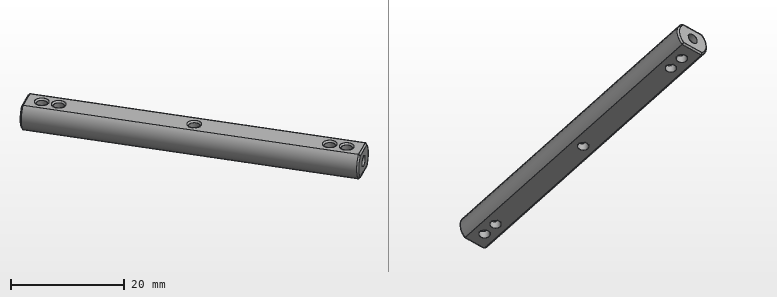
import cadquery as cq

length = 62.5
rod_diameter = 6.6
height_over_flats = 5.0
end_chamfer = 0.3

bore_diameter = 2.0
countersink_diameter = 2.6
countersink_angle = 90.0
outer_hole_inset = 3.1
inner_hole_inset = 6.25

half_length = length / 2
top_z = height_over_flats / 2


def flatted_bar():
    """Rod along X, cut flat at top and bottom, with chamfered ends."""
    rod = cq.Workplane("YZ").circle(rod_diameter / 2).extrude(half_length, both=True)
    flats = cq.Workplane("XY").box(length, rod_diameter, height_over_flats)
    return rod.intersect(flats).faces("<X or >X").chamfer(end_chamfer)


def cross_hole_positions():
    """Centre hole plus a mirrored pair of holes near each end."""
    positions = [(0, 0)]
    for inset in (outer_hole_inset, inner_hole_inset):
        for side in (-1, 1):
            positions.append((side * (half_length - inset), 0))
    return positions


bar = flatted_bar()

bar = (
    bar.copyWorkplane(cq.Workplane("XY", origin=(0, 0, top_z)))
    .pushPoints(cross_hole_positions())
    .cskHole(bore_diameter, countersink_diameter, countersink_angle)
)

axial_bore = cq.Workplane("YZ").circle(bore_diameter / 2).extrude(half_length, both=True)

result = bar.cut(axial_bore)